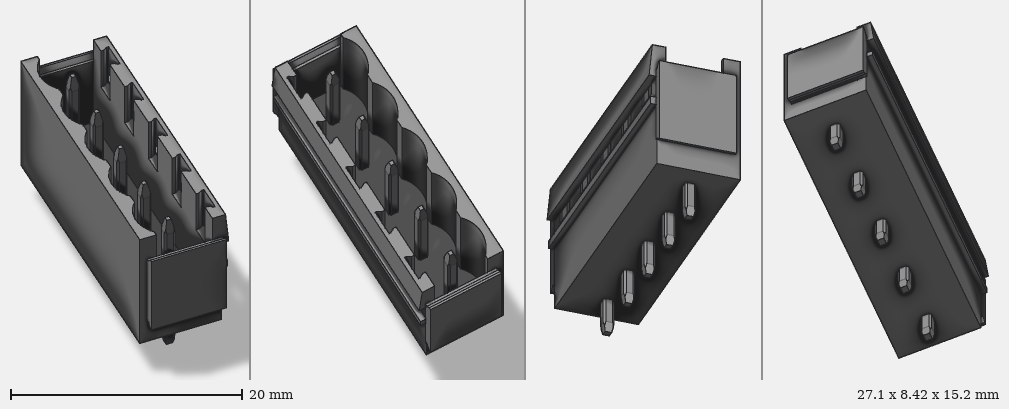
import cadquery as cq
import math


CONTACTS = 5
PITCH = 5.08
PIN_Y = 3.8

OVERALL_LENGTH = 27.15
HOUSING_LENGTH = CONTACTS * PITCH
HOUSING_DEPTH = 7.7
HOUSING_HEIGHT = 12.0
FLOOR_TOP = 2.45
BACK_WALL_INNER_Y = 6.87

RIDGE_Y = 1.58
SCALLOP_LOW_Y = 0.73
SCALLOP_RADIUS = PIN_Y - SCALLOP_LOW_Y

OVERALL_DEPTH = 8.42
LIP_TOP_Y = 8.12
LIP_BOTTOM_Z = 8.85
RIB_Y = 8.28
RIB_BOTTOM_Z = 5.98
RIB_HEIGHT = 0.73

SLOT_MOUTH_WIDTH = 1.9
SLOT_BACK_WIDTH = 2.4
SLOT_MOUTH_DEPTH = 0.3
SLOT_FLARE_DEPTH = 0.65
SLOT_BOTTOM_Z = 7.85

PLATE_FRONT_Y = 0.7
PLATE_BACK_Y = 7.8
PLATE_BOTTOM_Z = 2.05
PLATE_TOP_Z = 9.95
PLATE_RIM = 0.22
PLATE_BEVEL = 0.4

PIN_WIDTH = 1.0
PIN_EDGE_CHAMFER = 0.2
PIN_BOTTOM_Z = -3.2
PIN_LOWER_SHOULDER_Z = -2.3
PIN_LOWER_TIP_WIDTH = 0.6
PIN_UPPER_SHOULDER_Z = 9.7
PIN_TOP_Z = 11.05
PIN_UPPER_TIP_WIDTH = 0.4

contact_positions = [(i - (CONTACTS - 1) / 2) * PITCH for i in range(CONTACTS)]


def box_between(x_size, y_start, y_end, z_start, z_end):
    """Box centred in X, between two Y planes and two Z levels."""
    block = cq.Workplane("XY").box(x_size, y_end - y_start, z_end - z_start, centered=(True, False, False))
    return block.translate((0, y_start, z_start))


def make_back_lip():
    """Latching lip whose back face leans outwards towards its lower edge."""
    return (
        cq.Workplane("YZ")
        .moveTo(BACK_WALL_INNER_Y, HOUSING_HEIGHT)
        .lineTo(LIP_TOP_Y, HOUSING_HEIGHT)
        .lineTo(OVERALL_DEPTH, LIP_BOTTOM_Z)
        .lineTo(BACK_WALL_INNER_Y, LIP_BOTTOM_Z)
        .close()
        .extrude(HOUSING_LENGTH / 2, both=True)
    )


def make_end_plate():
    """Plate on the +X end: a neck against the housing that flares to a thin rim."""
    inner_x = HOUSING_LENGTH / 2
    outer_x = OVERALL_LENGTH / 2
    rim_x = outer_x - PLATE_RIM
    neck_x = rim_x - PLATE_BEVEL
    neck_bottom = PLATE_BOTTOM_Z + PLATE_BEVEL
    neck_top = PLATE_TOP_Z - PLATE_BEVEL
    outline = [
        (inner_x, neck_bottom),
        (neck_x, neck_bottom),
        (rim_x, PLATE_BOTTOM_Z),
        (outer_x, PLATE_BOTTOM_Z),
        (outer_x, PLATE_TOP_Z),
        (rim_x, PLATE_TOP_Z),
        (neck_x, neck_top),
        (inner_x, neck_top),
    ]
    plate = cq.Workplane("XZ").polyline(outline).close().extrude(PLATE_FRONT_Y - PLATE_BACK_Y)
    return plate.translate((0, PLATE_FRONT_Y, 0))


def make_cavity():
    """Plug cavity, open at the top and both ends, with a scallop in front of each pin."""
    cavity = box_between(HOUSING_LENGTH, RIDGE_Y, BACK_WALL_INNER_Y, FLOOR_TOP, HOUSING_HEIGHT)
    half_chord = math.sqrt(SCALLOP_RADIUS**2 - (PIN_Y - RIDGE_Y) ** 2)
    for x in contact_positions:
        scallop = (
            cq.Workplane("XY", origin=(x, 0, FLOOR_TOP))
            .moveTo(-half_chord, RIDGE_Y)
            .threePointArc((0, SCALLOP_LOW_Y), (half_chord, RIDGE_Y))
            .close()
            .extrude(HOUSING_HEIGHT - FLOOR_TOP)
        )
        cavity = cavity.union(scallop)
    return cavity


def make_keying_slot(x):
    """Slot that widens away from the cavity and opens through the wall below the lip."""
    mouth = SLOT_MOUTH_WIDTH / 2
    back = SLOT_BACK_WIDTH / 2
    throat_y = BACK_WALL_INNER_Y + SLOT_MOUTH_DEPTH
    flare_y = BACK_WALL_INNER_Y + SLOT_FLARE_DEPTH
    outline = [
        (-mouth, BACK_WALL_INNER_Y),
        (mouth, BACK_WALL_INNER_Y),
        (mouth, throat_y),
        (back, flare_y),
        (back, HOUSING_DEPTH),
        (-back, HOUSING_DEPTH),
        (-back, flare_y),
        (-mouth, throat_y),
    ]
    slot = cq.Workplane("XY", origin=(x, 0, SLOT_BOTTOM_Z)).polyline(outline).close()
    return slot.extrude(HOUSING_HEIGHT - SLOT_BOTTOM_Z)


def make_pin(x):
    """Square pin with chamfered long edges and tapered ends."""
    half = PIN_WIDTH / 2
    lower_tip = PIN_LOWER_TIP_WIDTH / 2
    upper_tip = PIN_UPPER_TIP_WIDTH / 2
    profile = [
        (-lower_tip, PIN_BOTTOM_Z),
        (lower_tip, PIN_BOTTOM_Z),
        (half, PIN_LOWER_SHOULDER_Z),
        (half, PIN_UPPER_SHOULDER_Z),
        (upper_tip, PIN_TOP_Z),
        (-upper_tip, PIN_TOP_Z),
        (-half, PIN_UPPER_SHOULDER_Z),
        (-half, PIN_LOWER_SHOULDER_Z),
    ]
    pin = box_between(PIN_WIDTH, -half, half, PIN_BOTTOM_Z, PIN_TOP_Z).edges("|Z").chamfer(PIN_EDGE_CHAMFER)
    for plane in ("XZ", "YZ"):
        pin = pin.intersect(cq.Workplane(plane).polyline(profile).close().extrude(half, both=True))
    return pin.translate((x, PIN_Y, 0))


def make_housing(pins):
    """Housing with its lip, rib and end plates, cut for the plug, the slots and the pins."""
    end_plate = make_end_plate()
    housing = (
        box_between(HOUSING_LENGTH, 0, HOUSING_DEPTH, 0, HOUSING_HEIGHT)
        .union(make_back_lip())
        .union(box_between(HOUSING_LENGTH, BACK_WALL_INNER_Y, RIB_Y, RIB_BOTTOM_Z, RIB_BOTTOM_Z + RIB_HEIGHT))
        .cut(make_cavity())
        .union(end_plate)
        .union(end_plate.mirror("YZ"))
    )
    for x in contact_positions:
        housing = housing.cut(make_keying_slot(x))
    for pin in pins:
        housing = housing.cut(pin)
    return housing


pins = [make_pin(x) for x in contact_positions]
housing = make_housing(pins)

result = cq.Compound.makeCompound([housing.val(), *[pin.val() for pin in pins]])